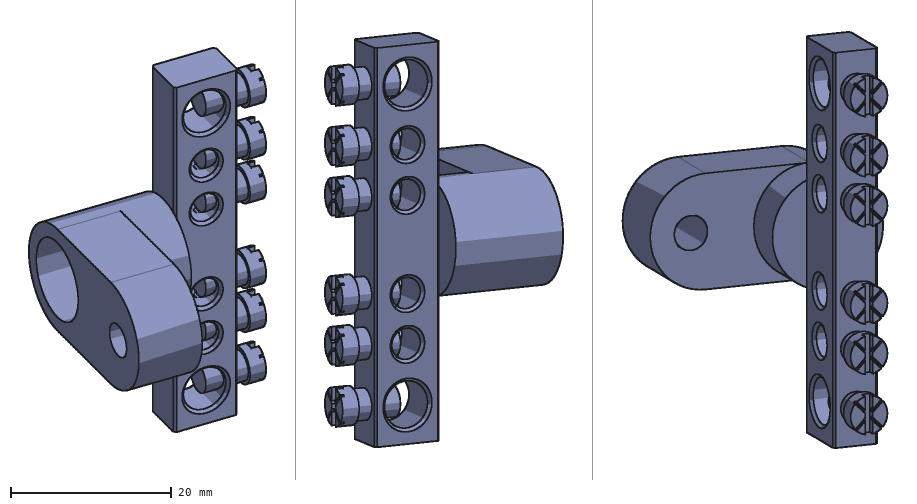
import cadquery as cq

boss_diameter = 15.0
boss_length = 15.0
arm_thickness = 9.0
arm_reach = 14.0
bore_diameter = 11.0
bore_floor = (boss_diameter - bore_diameter) / 2
mount_hole_diameter = 4.5
mount_hole_offset = 16.0

bar_width = 6.0
bar_depth = 9.05
bar_height = 51.0
bar_edge_chamfer = 0.3
bar_back = boss_length + bar_depth
wire_hole_y = boss_length + bar_depth / 2

small_wire_hole = 4.0
large_wire_hole = 6.0
wire_hole_chamfer = 0.4
wire_holes_by_height = {
    6.25: small_wire_hole,
    12.75: small_wire_hole,
    20.5: large_wire_hole,
}
terminals = [
    (side * height, diameter)
    for height, diameter in wire_holes_by_height.items()
    for side in (-1, 1)
]

screw_diameter = 4.1
head_diameter = 5.0
head_length = 2.3
head_gap = 2.0
screw_tip_y = 20.0
head_base_y = bar_back + head_gap
screw_end_y = head_base_y + head_length
slot_width = 1.0
slot_depth = 1.05
cross_mark_width = 0.25
cross_mark_depth = 0.5


def rod_along_y(diameter, start_y, end_y, x=0.0, z=0.0):
    """Solid cylinder parallel to Y between two Y positions."""
    plane = cq.Workplane("XZ", origin=(x, start_y, z))
    return plane.circle(diameter / 2).extrude(start_y - end_y)


def make_bracket():
    boss = rod_along_y(boss_diameter, 0, boss_length)
    arm_end = rod_along_y(boss_diameter, 0, arm_thickness, x=arm_reach)
    arm = cq.Workplane("XY").box(arm_reach, arm_thickness, boss_diameter, centered=(False, False, True))
    bore = rod_along_y(bore_diameter, 0, boss_length - bore_floor)
    mount_hole = rod_along_y(mount_hole_diameter, 0, arm_thickness, x=mount_hole_offset)
    return boss.union(arm).union(arm_end).cut(bore).cut(mount_hole)


def wire_hole_cutter(z, diameter):
    """Hole across the bar along X, widened by a chamfer at each mouth."""
    radius = diameter / 2
    mouth_radius = radius + wire_hole_chamfer
    half_width = bar_width / 2
    half_straight = half_width - wire_hole_chamfer
    profile = [
        (-half_width, 0),
        (-half_width, mouth_radius),
        (-half_straight, radius),
        (half_straight, radius),
        (half_width, mouth_radius),
        (half_width, 0),
    ]
    plane = cq.Workplane("XY", origin=(0, wire_hole_y, z))
    return plane.polyline(profile).close().revolve(360, (0, 0), (1, 0))


def make_bar():
    bar = cq.Workplane("XY").box(bar_width, bar_depth, bar_height)
    bar = bar.edges("|Z").chamfer(bar_edge_chamfer).translate((0, wire_hole_y, 0))
    for z, diameter in terminals:
        screw_hole = rod_along_y(screw_diameter, wire_hole_y, bar_back, z=z)
        bar = bar.cut(wire_hole_cutter(z, diameter)).cut(screw_hole)
    return bar


def head_groove(width, depth, angle):
    """Groove cutter across the screw head, turned about the screw axis from upright."""
    groove = cq.Workplane("XY").box(width, depth, 2 * head_diameter)
    groove = groove.translate((0, screw_end_y - depth / 2, 0))
    return groove.rotate((0, 0, 0), (0, 1, 0), angle)


def make_screw(z):
    shank = rod_along_y(screw_diameter, screw_tip_y, head_base_y)
    head = rod_along_y(head_diameter, head_base_y, screw_end_y)
    screw = shank.union(head).cut(head_groove(slot_width, slot_depth, 0))
    for angle in (-45, 45):
        screw = screw.cut(head_groove(cross_mark_width, cross_mark_depth, angle))
    return screw.translate((0, 0, z))


bracket = make_bracket()
bar = make_bar()
screws = [make_screw(z) for z, _ in terminals]

result = cq.Compound.makeCompound([bracket.val(), bar.val(), *[screw.val() for screw in screws]])